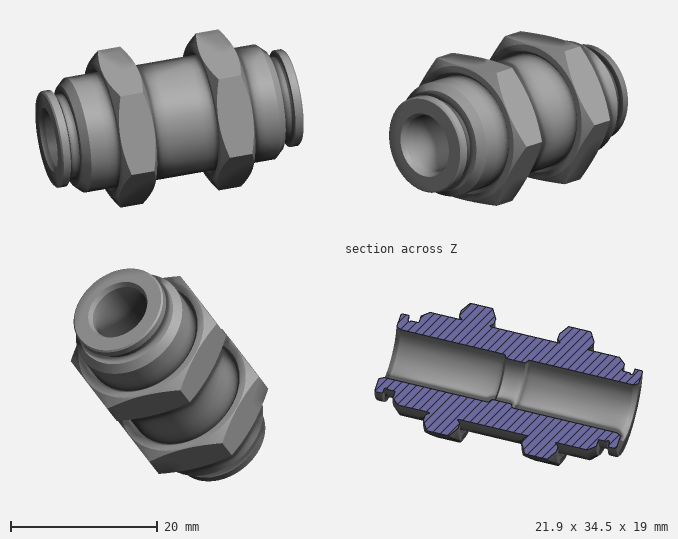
import cadquery as cq
import math

length = 34.5
half_length = length / 2

body_radius = 8.0
body_end_radius = 7.07
body_chamfer_length = 1.05
sleeve_assembly_length = 2.73
body_half_length = half_length - sleeve_assembly_length

sleeve_radius = 5.95
neck_radius = 5.73
neck_cone_length = 0.2
neck_cone_radius = 5.9
collar_radius = 6.73
collar_width = 1.2
neck_width = 0.35
sleeve_half_length = half_length - collar_width - neck_width
collar_chamfer = 0.2

passage_radius = 3.5
socket_radius = 4.07
socket_mouth_radius = 4.45
socket_mouth_depth = 0.7
socket_depth = 15.53
socket_floor_cone_length = 0.35

nut_flats = 19.0
nut_corners = nut_flats / math.cos(math.radians(30))
nut_width = 5.0
nut_offset = 7.0
nut_face_radius = 9.42
nut_chamfer_angle = 30
nut_countersink = 0.52


def revolve_outline(points):
    """Turn a (radius, y) outline about the Y axis."""
    return cq.Workplane("XY").polyline(points).close().revolve(360, (0, 0), (0, 1))


def fitting():
    """Outer shape and bore, with the same outline at both ends."""
    collar_start = half_length - collar_width
    one_end = [
        (body_radius, body_half_length - body_chamfer_length),
        (body_end_radius, body_half_length),
        (sleeve_radius, body_half_length),
        (sleeve_radius, sleeve_half_length),
        (neck_radius, sleeve_half_length),
        (neck_radius, collar_start - neck_cone_length),
        (neck_cone_radius, collar_start),
        (collar_radius, collar_start),
        (collar_radius, half_length - collar_chamfer),
        (collar_radius - collar_chamfer, half_length),
        (socket_mouth_radius, half_length),
        (socket_radius, half_length - socket_mouth_depth),
        (socket_radius, half_length - socket_depth),
        (passage_radius, half_length - socket_depth - socket_floor_cone_length),
    ]
    opposite_end = [(radius, -y) for radius, y in reversed(one_end)]
    return revolve_outline(one_end + opposite_end)


def nut():
    """Hexagonal nut centred on the origin, chamfered and countersunk on both faces."""
    half_width = nut_width / 2
    corner_radius = nut_corners / 2
    chamfer_depth = (corner_radius - nut_face_radius) * math.tan(math.radians(nut_chamfer_angle))
    hexagon = (
        cq.Workplane("XZ")
        .polygon(6, nut_corners)
        .extrude(half_width, both=True)
    )
    envelope = revolve_outline([
        (body_radius + nut_countersink, -half_width),
        (nut_face_radius, -half_width),
        (corner_radius, -half_width + chamfer_depth),
        (corner_radius, half_width - chamfer_depth),
        (nut_face_radius, half_width),
        (body_radius + nut_countersink, half_width),
        (body_radius, half_width - nut_countersink),
        (body_radius, -half_width + nut_countersink),
    ])
    return hexagon.intersect(envelope)


result = fitting()
for side in (-1, 1):
    result = result.union(nut().translate((0, side * nut_offset, 0)))